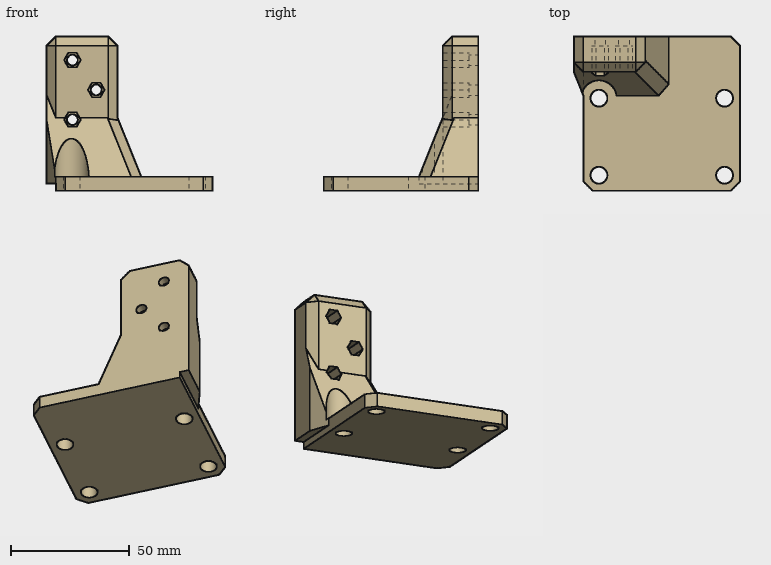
import cadquery as cq

total_width = 70.0
plate_depth = 65.0
plate_thickness = 6.0
chamfer = 4.0
plate_left = chamfer
plate_hole_diameter = 7.0
plate_hole_left = 10.6
plate_hole_right = total_width + plate_left - plate_hole_left
plate_hole_back = -26.05
plate_hole_front = -58.45

tower_width = 30.0
tower_depth = 15.0
tower_bottom = plate_thickness / 2
tower_top = 65.0

gusset_run = 14.0
gusset_top = 40.75
gusset_width = 40.0
gusset_depth = 25.0
gusset_corner_x = 4.3
gusset_corner_y = 4.9
clearance_radius = 7.5

screw_diameter = 4.5
hex_across_corners = 7.0
hex_floor_from_back = 4.0
screw_left_x = 11.0
screw_right_x = 21.0
screw_middle_z = 42.5
screw_pitch_z = 12.5
screw_positions = [
    (screw_left_x, screw_middle_z - screw_pitch_z),
    (screw_right_x, screw_middle_z),
    (screw_left_x, screw_middle_z + screw_pitch_z),
]


def make_plate():
    """Flat plate; the back left corner under the tower stays square."""
    plate = cq.Workplane("XY").box(
        total_width - plate_left, plate_depth, plate_thickness, centered=False
    ).translate((plate_left, -plate_depth, 0))
    plate = plate.edges("|Z and (<Y or >X)").chamfer(chamfer)
    return plate


def make_tower():
    """Upright block, chamfered on its front corners and around its top except at the back."""
    tower = cq.Workplane("XY").box(
        tower_width, tower_depth, tower_top - tower_bottom, centered=False
    ).translate((0, -tower_depth, tower_bottom))
    return tower.edges("(|Z and <Y) or (>Z and (not >Y))").chamfer(chamfer)


def gusset_section(inset):
    """Plan outline of the gusset with its front and right sides moved in."""
    right = gusset_width - inset
    front = inset - gusset_depth
    return [
        (0, 0),
        (0, front),
        (right - gusset_corner_x, front),
        (right, front + gusset_corner_y),
        (right, 0),
    ]


def make_gusset():
    """Sloped support on a short straight foot, trimmed by an angled left wall."""
    foot = (
        cq.Workplane("XY", origin=(0, 0, tower_bottom))
        .polyline(gusset_section(0)).close()
        .extrude(plate_thickness - tower_bottom)
    )
    slope = (
        cq.Workplane("XY", origin=(0, 0, plate_thickness))
        .polyline(gusset_section(0)).close()
        .workplane(offset=gusset_top - plate_thickness)
        .polyline(gusset_section(gusset_run)).close()
        .loft(ruled=True)
    )
    left_trim = (
        cq.Workplane("XY")
        .polyline([(0, -tower_depth), (plate_left, -gusset_depth), (0, -gusset_depth)]).close()
        .extrude(tower_top)
    )
    clearance = (
        cq.Workplane("XY", origin=(plate_hole_left, plate_hole_back, plate_thickness))
        .circle(clearance_radius).extrude(tower_top)
    )
    return foot.union(slope).cut(left_trim).cut(clearance)


def make_plate_holes():
    return (
        cq.Workplane("XY")
        .pushPoints([
            (x, y)
            for x in (plate_hole_left, plate_hole_right)
            for y in (plate_hole_back, plate_hole_front)
        ])
        .circle(plate_hole_diameter / 2).extrude(plate_thickness)
    )


def make_screw_cuts():
    """Through holes along Y, widened to hexagons ahead of a floor near the back."""
    holes = (
        cq.Workplane("XZ").pushPoints(screw_positions)
        .circle(screw_diameter / 2).extrude(gusset_depth)
    )
    pockets = (
        cq.Workplane("XZ", origin=(0, -hex_floor_from_back, 0)).pushPoints(screw_positions)
        .polygon(6, hex_across_corners).extrude(gusset_depth - hex_floor_from_back)
    )
    return holes.union(pockets)


body = make_plate().union(make_tower()).union(make_gusset())
result = body.cut(make_plate_holes()).cut(make_screw_cuts())